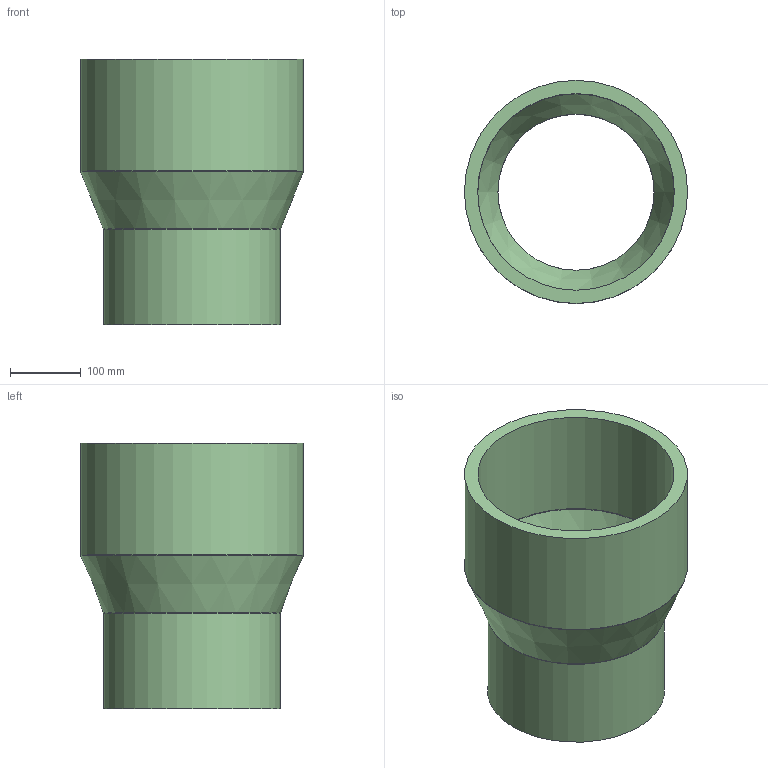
import cadquery as cq

TOTAL_HEIGHT = 375.0
LARGE_RADIUS = 315.0 / 2
LARGE_WALL = 18.7
LARGE_LENGTH = 158.0
SMALL_RADIUS = 250.0 / 2
SMALL_WALL = 14.8
SMALL_LENGTH = 135.0
BLEND_RADIUS = 2.0

TAPER_TOP = TOTAL_HEIGHT - LARGE_LENGTH
LARGE_BORE_RADIUS = LARGE_RADIUS - LARGE_WALL
SMALL_BORE_RADIUS = SMALL_RADIUS - SMALL_WALL

TAPER_RISE_PER_RADIUS = (TAPER_TOP - SMALL_LENGTH) / (LARGE_RADIUS - SMALL_RADIUS)
BORE_TAPER_BOTTOM = TAPER_TOP - TAPER_RISE_PER_RADIUS * (LARGE_BORE_RADIUS - SMALL_BORE_RADIUS)


wall_outline = [
    (SMALL_RADIUS, 0),
    (SMALL_RADIUS, SMALL_LENGTH),
    (LARGE_RADIUS, TAPER_TOP),
    (LARGE_RADIUS, TOTAL_HEIGHT),
    (LARGE_BORE_RADIUS, TOTAL_HEIGHT),
    (LARGE_BORE_RADIUS, TAPER_TOP),
    (SMALL_BORE_RADIUS, BORE_TAPER_BOTTOM),
    (SMALL_BORE_RADIUS, 0),
    (SMALL_RADIUS, 0),
]

wall_section = (
    cq.Sketch()
    .polygon(wall_outline)
    .vertices("not(<Y or >Y)")
    .fillet(BLEND_RADIUS)
)

result = (
    cq.Workplane("XZ")
    .placeSketch(wall_section)
    .revolve(360, (0, 0, 0), (0, 1, 0))
)